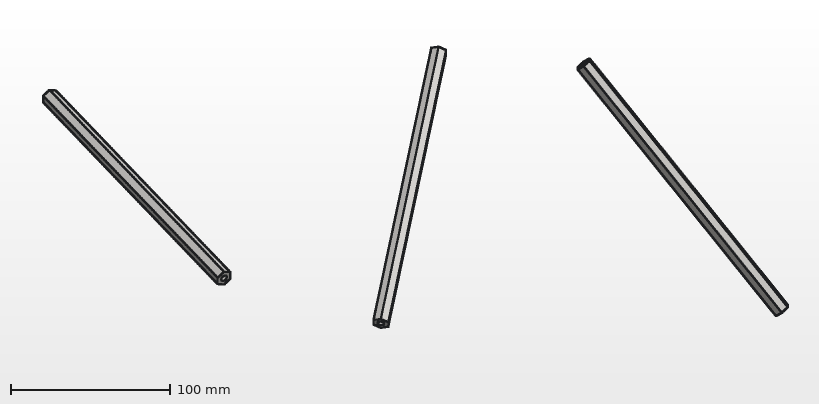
import cadquery as cq
import math

length = 203.2
across_corners = 11.0
hole_diameter = 4.0
hole_depth = 20.3
drill_point_angle = 118.0

hole_radius = hole_diameter / 2
tip_depth = hole_radius / math.tan(math.radians(drill_point_angle / 2))


def hex_bar():
    """Hexagonal bar centred on the origin, with corners at +Z and -Z."""
    return (
        cq.Workplane("YZ")
        .polygon(6, across_corners)
        .extrude(length / 2, both=True)
        .rotate((0, 0, 0), (1, 0, 0), 90)
    )


def drilled_hole(end):
    """Drill-pointed hole entering from the end at -X (end=-1) or +X (end=1)."""
    face = end * length / 2
    bottom = end * (length / 2 - hole_depth)
    tip = end * (length / 2 - hole_depth - tip_depth)
    return (
        cq.Workplane("XY")
        .moveTo(face, 0)
        .lineTo(face, hole_radius)
        .lineTo(bottom, hole_radius)
        .lineTo(tip, 0)
        .close()
        .revolve(360, (0, 0, 0), (1, 0, 0))
    )


result = hex_bar()
for end in (-1, 1):
    result = result.cut(drilled_hole(end))